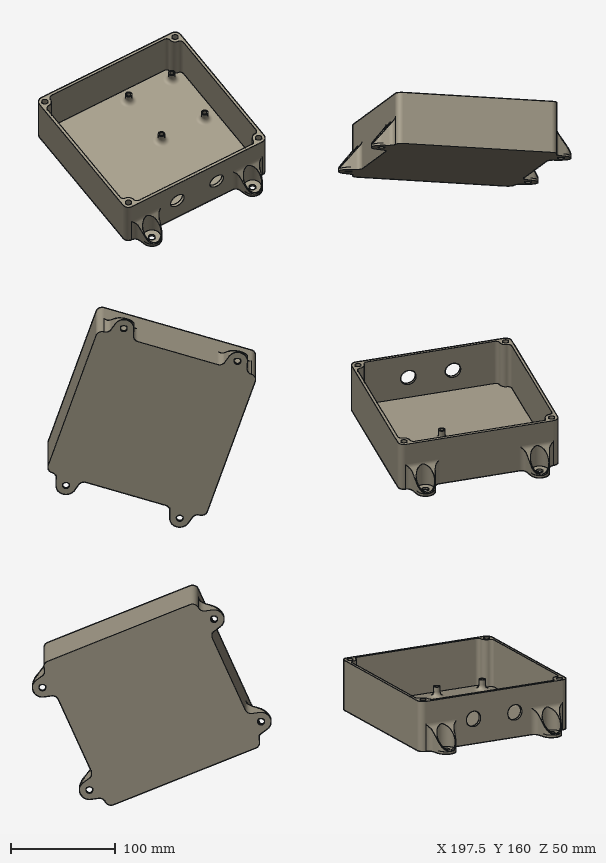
import cadquery as cq
import math

overall_length = 197.5
box_width = 160.0
box_height = 50.0
corner_radius = 6.1
wall = 3.0
floor_thickness = wall

screw_inset = 6.1
post_radius = 6.1
post_blend_radius = 4.0
screw_hole_diameter = 6.0

lug_end_radius = 9.7
lug_offset_y = 57.0
lug_taper = 15.0
lug_slope = 50.0
lug_tip_height = 2.8
lug_blend_radius = 6.0
lug_seat_height = 2.4
lug_seat_diameter = 17.5
lug_hole_diameter = 6.5

standoff_x = (-63.5, -5.5)
standoff_y = (14.6, 63.5)
standoff_height = 10.0
standoff_diameter = 6.3
standoff_hole_diameter = 4.0
standoff_flare_radius = 5.0

opening_diameter = 15.5
opening_offset_y = 22.3

half_box = box_width / 2
opening_height = box_height / 2
lug_center_x = overall_length / 2 - lug_end_radius
cavity_height = box_height - floor_thickness


def make_shell():
    """Open box with a cavity that leaves a blended screw post in each corner."""
    body = cq.Workplane("XY").rect(box_width, box_width).extrude(box_height)
    body = body.edges("|Z").fillet(corner_radius)

    cavity_width = box_width - 2 * wall
    screw_spacing = box_width - 2 * screw_inset
    floor_plane = cq.Workplane("XY").workplane(offset=floor_thickness)
    posts = floor_plane.rect(screw_spacing, screw_spacing, forConstruction=True).vertices()
    posts = posts.circle(post_radius).extrude(cavity_height)
    cavity = floor_plane.rect(cavity_width, cavity_width).extrude(cavity_height).cut(posts)
    cavity = cavity.edges("|Z").fillet(post_blend_radius)

    screws = floor_plane.rect(screw_spacing, screw_spacing, forConstruction=True).vertices()
    screws = screws.circle(screw_hole_diameter / 2).extrude(cavity_height)
    return body.cut(cavity).cut(screws)


def make_lug_plan():
    """Plan of the +X lug about y = 0: round end, tapered flanks and blends into the wall."""
    taper = math.radians(lug_taper)
    tangent_x = lug_center_x + lug_end_radius * math.sin(taper)
    tangent_y = lug_end_radius * math.cos(taper)
    root_y = tangent_y + (tangent_x - half_box) * math.tan(taper)
    blend_length = lug_blend_radius * math.tan((math.pi / 2 - taper) / 2)
    flank_x = half_box + blend_length * math.cos(taper)
    flank_y = root_y - blend_length * math.sin(taper)
    wall_y = root_y + blend_length
    inner_x = half_box - wall
    return (
        cq.Workplane("XY")
        .moveTo(inner_x, -wall_y)
        .lineTo(half_box, -wall_y)
        .radiusArc((flank_x, -flank_y), lug_blend_radius)
        .lineTo(tangent_x, -tangent_y)
        .threePointArc((overall_length / 2, 0), (tangent_x, tangent_y))
        .lineTo(flank_x, flank_y)
        .radiusArc((half_box, wall_y), lug_blend_radius)
        .lineTo(inner_x, wall_y)
        .close()
        .extrude(box_height)
    )


def make_lug_profile():
    """Sloping side profile of the +X lug, blended into the wall at its top."""
    slope = math.radians(lug_slope)
    tip_x = overall_length / 2
    root_z = lug_tip_height + (tip_x - half_box) * math.tan(slope)
    blend_length = lug_blend_radius * math.tan((math.pi / 2 - slope) / 2)
    slope_end = (half_box + blend_length * math.cos(slope), root_z - blend_length * math.sin(slope))
    inner_x = half_box - wall
    top_z = root_z + blend_length
    return (
        cq.Workplane("XZ")
        .moveTo(inner_x, 0)
        .lineTo(tip_x, 0)
        .lineTo(tip_x, lug_tip_height)
        .lineTo(*slope_end)
        .radiusArc((half_box, top_z), lug_blend_radius)
        .lineTo(inner_x, top_z)
        .close()
        .extrude(half_box, both=True)
    )


def make_lug():
    """One +X lug about y = 0, with a flat screw seat and a through hole."""
    seat = (
        cq.Workplane("XY")
        .workplane(offset=lug_seat_height)
        .center(lug_center_x, 0)
        .circle(lug_seat_diameter / 2)
        .extrude(box_height)
    )
    hole = (
        cq.Workplane("XY")
        .center(lug_center_x, 0)
        .circle(lug_hole_diameter / 2)
        .extrude(box_height)
    )
    return make_lug_plan().intersect(make_lug_profile()).cut(seat).cut(hole)


def make_standoff():
    """Hollow pin on the box floor with a concave flare around its foot."""
    pin_radius = standoff_diameter / 2
    bore_radius = standoff_hole_diameter / 2
    foot_radius = pin_radius + standoff_flare_radius
    return (
        cq.Workplane("XZ")
        .moveTo(bore_radius, 0)
        .lineTo(foot_radius, 0)
        .radiusArc((pin_radius, standoff_flare_radius), standoff_flare_radius)
        .lineTo(pin_radius, standoff_height)
        .lineTo(bore_radius, standoff_height)
        .close()
        .revolve(360, (0, 0, 0), (0, 1, 0))
    )


def make_openings():
    """Cutters for the two round openings in the +X wall."""
    return (
        cq.Workplane("YZ")
        .workplane(offset=half_box - 2 * wall)
        .pushPoints([(-opening_offset_y, opening_height), (opening_offset_y, opening_height)])
        .circle(opening_diameter / 2)
        .extrude(3 * wall)
    )


result = make_shell()

lug = make_lug()
for turn in (0, 180):
    for y in (-lug_offset_y, lug_offset_y):
        result = result.union(lug.translate((0, y, 0)).rotate((0, 0, 0), (0, 0, 1), turn))

standoff = make_standoff()
for x in standoff_x:
    for y in standoff_y:
        result = result.union(standoff.translate((x, y, floor_thickness)))

result = result.cut(make_openings())